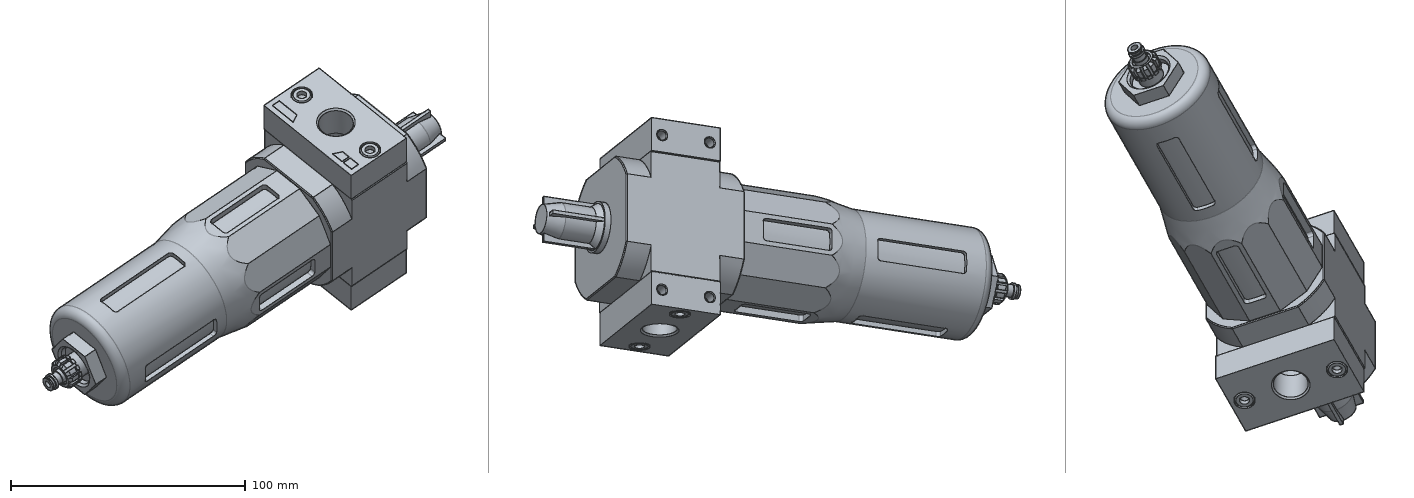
import cadquery as cq
import math


BODY_SIZE = 55.0
BODY_CORNER_DIA = 63.0
BODY_CHAMFER = 0.5

OVERALL_HEIGHT = 85.0
PLATE_LENGTH = 32.0
PLATE_SHIFT_X = -0.5
PORT_DIA = 14.9
PORT_RIM_DIA = 16.5
SIDE_HOLE_DIA = 4.2
SIDE_HOLE_RIM_DIA = 5.0
SIDE_HOLE_DEPTH = 6.7
SIDE_HOLE_SPACING_Y = 22.2
SIDE_HOLE_INSET = 7.3
DRILL_POINT_ANGLE = 118

LABEL_DEPTH = 0.2
LABEL_BACK_Y = -9.3
LABEL_FRONT_Y = -13.3
LABEL_SLANT = 2.0
LABEL_INNER_X = 12.5
LEFT_LABEL_OUTER_X = -25.5
RIGHT_LABEL_SPLIT_X = 18.5
RIGHT_LABEL_GAP = 0.9
RIGHT_LABEL_OUTER_X = 24.5

SCREW_X = 21.5
SCREW_HEAD_DIA = 8.5
SCREW_HEAD_TOP_DIA = 7.3
SCREW_HEAD_HEIGHT = 4.5
SCREW_POCKET_DIA = 9.0
SCREW_SHANK_DIA = 5.0
SCREW_BITE = 6.7
SOCKET_DIA = 4.2
SOCKET_DEPTH = 2.2

KNOB_TIP_Y = 55.3
KNOB_COLLAR_DIA = 22.2
KNOB_COLLAR_LENGTH = 2.7
KNOB_FLARE_LENGTH = 2.9
KNOB_CORE_DIA = 16.5
KNOB_TIP_DIA = 12.7
KNOB_TAPER_LENGTH = 8.0
FIN_COUNT = 4
FIN_REACH = 10.2
FIN_THICKNESS = 1.5
FIN_SETBACK = 1.0

FACET_COUNT = 12
FACET_FLATS = 53.3
BOWL_DIA = 48.7
TAPER_START_Y = -68.7
TAPER_END_Y = -85.5
BOWL_END_Y = -145.5
BOWL_END_FILLET = 4.0
WINDOW_WIDTH = 10.2
WINDOW_CORNER = 1.5
FACET_WINDOW_FLOOR_DIA = 48.5
BOWL_WINDOW_FLOOR_DIA = 44.5
WINDOW_COUNT = 4
FACET_WINDOW_Y = (-68.7, -36.7)
BOWL_WINDOW_Y = (-132.5, -91)
HEX_FLATS = 24.0
HEX_HEIGHT = 6.2
HEX_RECESS_DIA = 18.0
HEX_RECESS_RIM_DIA = 20
HEX_RECESS_DEPTH = 3.3

DRAIN_NECK_DIA = 11
WHEEL_DIA = 13.3
WHEEL_START_Y = -153.0
WHEEL_END_Y = -159.8
WHEEL_CHAMFER = 1.3
WHEEL_RECESS_DIA = 8.5
WHEEL_RECESS_DEPTH = 0.9
WHEEL_RIM_LENGTH = 1.3
WHEEL_GROOVE_DIA = 11
WHEEL_GROOVE_LENGTH = 0.5
NOTCH_COUNT = 12
NOTCH_WIDTH = 1.3
NOTCH_DEPTH = 1.3
NIPPLE_END_Y = -166.9
NIPPLE_NECK_DIA = 5.5
NIPPLE_BASE_RING = (6.5, -158.9, -160.9)
NIPPLE_BARB_RING = (7.0, -163.8, -164.9)
NIPPLE_TIP_RING = (6.2, -166.0, NIPPLE_END_Y)
NIPPLE_HOLE_DIA = 3.0
NIPPLE_HOLE_DEPTH = 4.5

BODY_HALF = BODY_SIZE / 2
PLATE_TOP_Z = OVERALL_HEIGHT / 2
PLATE_HEIGHT = PLATE_TOP_Z - BODY_HALF
PLATE_FACE_X = PLATE_SHIFT_X - BODY_HALF
SCREW_LENGTH = PLATE_HEIGHT + SCREW_BITE
FACET_CORNER_DIA = FACET_FLATS / math.cos(math.pi / FACET_COUNT)
HEX_END_Y = BOWL_END_Y - HEX_HEIGHT
RECESS_FLOOR_Y = HEX_END_Y + HEX_RECESS_DEPTH


def cylinder_y(diameter, y_start, y_end):
    """Solid cylinder on the Y axis between two Y positions."""
    low, high = min(y_start, y_end), max(y_start, y_end)
    return cq.Workplane("XZ", origin=(0, low, 0)).circle(diameter / 2).extrude(low - high)


def turned_y(points):
    """Solid of revolution about the Y axis from (radius, y) points."""
    return cq.Workplane("XY").polyline(points).close().revolve(360, (0, 0, 0), (0, 1, 0))


def prism_y(sides, flats, y_start, y_end, turn):
    """Regular prism on the Y axis, given across flats, turned about that axis."""
    return (
        cq.Workplane("XZ", origin=(0, y_start, 0))
        .polygon(sides, flats / math.cos(math.pi / sides))
        .extrude(y_start - y_end)
        .rotate((0, 0, 0), (0, 1, 0), turn)
    )


def spread_about_y(shape, count):
    """Copies of a shape, evenly turned about the Y axis."""
    return [shape.rotate((0, 0, 0), (0, 1, 0), 360 / count * i) for i in range(count)]


def mirrored_to_bottom(shape):
    return shape.mirror("XY")


def flow_port():
    """Straight bore along Z through plates and housing."""
    return cq.Workplane("XY").circle(PORT_DIA / 2).extrude(OVERALL_HEIGHT / 2, both=True)


def drilled_hole(diameter, rim_diameter, depth):
    """Cutter for a blind hole along +X from the origin, with a rim countersink and a drill point."""
    radius = diameter / 2
    rim_radius = rim_diameter / 2
    point_length = radius / math.tan(math.radians(DRILL_POINT_ANGLE / 2))
    profile = cq.Workplane("XY").moveTo(0, 0).lineTo(0, rim_radius)
    if rim_radius > radius:
        profile = profile.lineTo(rim_radius - radius, radius)
    profile = profile.lineTo(depth, radius).lineTo(depth + point_length, 0).close()
    return profile.revolve(360, (0, 0, 0), (1, 0, 0))


def screw_points():
    return [(-SCREW_X, 0), (SCREW_X, 0)]


def make_housing():
    ends = cq.Workplane("XY").box(BODY_SIZE, BODY_SIZE, BODY_SIZE).intersect(
        cylinder_y(BODY_CORNER_DIA, -BODY_HALF, BODY_HALF)
    )
    ends = ends.faces("<Y or >Y").chamfer(BODY_CHAMFER)
    middle = cq.Workplane("XY").box(BODY_SIZE, PLATE_LENGTH, BODY_SIZE).edges("|Y").chamfer(BODY_CHAMFER)
    housing = ends.union(middle).cut(flow_port())
    screw_holes = (
        cq.Workplane("XY", origin=(0, 0, BODY_HALF - SCREW_BITE))
        .pushPoints(screw_points())
        .circle(SCREW_SHANK_DIA / 2)
        .extrude(SCREW_BITE)
    )
    return housing.cut(screw_holes).cut(mirrored_to_bottom(screw_holes))


def port_rim():
    """Conical countersink of the port at the outer plate face."""
    rim_depth = (PORT_RIM_DIA - PORT_DIA) / 2
    return cq.Workplane("XY").add(
        cq.Solid.makeCone(
            PORT_DIA / 2, PORT_RIM_DIA / 2, rim_depth, cq.Vector(0, 0, PLATE_TOP_Z - rim_depth)
        )
    )


def side_hole(y):
    """Countersunk blind hole entering from the -X plate face."""
    hole = drilled_hole(SIDE_HOLE_DIA, SIDE_HOLE_RIM_DIA, SIDE_HOLE_DEPTH)
    return hole.translate((PLATE_FACE_X, y, PLATE_TOP_Z - SIDE_HOLE_INSET))


def make_plate():
    """Upper plate without its labels; the lower plate is its mirror image."""
    plate = cq.Workplane("XY", origin=(PLATE_SHIFT_X, 0, BODY_HALF)).box(
        BODY_SIZE, PLATE_LENGTH, PLATE_HEIGHT, centered=(True, True, False)
    )
    plate = plate.cut(flow_port()).cut(port_rim())
    plate = (
        plate.faces(">Z")
        .workplane(origin=(0, 0, PLATE_TOP_Z))
        .pushPoints(screw_points())
        .cboreHole(SCREW_SHANK_DIA, SCREW_POCKET_DIA, SCREW_HEAD_HEIGHT)
    )
    for y in (-SIDE_HOLE_SPACING_Y / 2, SIDE_HOLE_SPACING_Y / 2):
        plate = plate.cut(side_hole(y))
    return plate


def label_recess(points):
    return (
        cq.Workplane("XY", origin=(0, 0, PLATE_TOP_Z)).polyline(points).close().extrude(-LABEL_DEPTH)
    )


def pointed_label(outer_x, side):
    """Four-sided label whose inner end slants; side is -1 left of the port, +1 right."""
    return label_recess([
        (outer_x, LABEL_BACK_Y),
        (side * (LABEL_INNER_X + LABEL_SLANT), LABEL_BACK_Y),
        (side * LABEL_INNER_X, LABEL_FRONT_Y),
        (outer_x, LABEL_FRONT_Y),
    ])


def square_label():
    inner_x = RIGHT_LABEL_SPLIT_X + RIGHT_LABEL_GAP
    return label_recess([
        (inner_x, LABEL_BACK_Y),
        (RIGHT_LABEL_OUTER_X, LABEL_BACK_Y),
        (RIGHT_LABEL_OUTER_X, LABEL_FRONT_Y),
        (inner_x, LABEL_FRONT_Y),
    ])


def make_labelled_plate():
    plate = make_plate()
    plate = plate.cut(pointed_label(LEFT_LABEL_OUTER_X, -1))
    plate = plate.cut(pointed_label(RIGHT_LABEL_SPLIT_X, 1))
    return plate.cut(square_label())


def make_screw(x):
    """Socket head screw of the upper plate, head flush with the outer face."""
    edge = (SCREW_HEAD_DIA - SCREW_HEAD_TOP_DIA) / 2
    head = (
        cq.Workplane("XY", origin=(x, 0, PLATE_TOP_Z))
        .circle(SCREW_HEAD_DIA / 2)
        .extrude(-SCREW_HEAD_HEIGHT)
        .faces(">Z")
        .chamfer(edge)
    )
    shank = (
        cq.Workplane("XY", origin=(x, 0, PLATE_TOP_Z - SCREW_LENGTH))
        .circle(SCREW_SHANK_DIA / 2)
        .extrude(SCREW_LENGTH - SCREW_HEAD_HEIGHT)
    )
    socket = drilled_hole(SOCKET_DIA, SOCKET_DIA, SOCKET_DEPTH)
    socket = socket.rotate((0, 0, 0), (0, 1, 0), 90).translate((x, 0, PLATE_TOP_Z))
    return head.union(shank).cut(socket)


def make_knob():
    collar_end = BODY_HALF + KNOB_COLLAR_LENGTH
    core = turned_y([
        (0, BODY_HALF),
        (KNOB_COLLAR_DIA / 2, BODY_HALF),
        (KNOB_COLLAR_DIA / 2, collar_end),
        (FIN_REACH, collar_end),
        (KNOB_CORE_DIA / 2, collar_end + KNOB_FLARE_LENGTH),
        (KNOB_CORE_DIA / 2, KNOB_TIP_Y - KNOB_TAPER_LENGTH),
        (KNOB_TIP_DIA / 2, KNOB_TIP_Y),
        (0, KNOB_TIP_Y),
    ])
    fin_length = KNOB_TIP_Y - FIN_SETBACK - collar_end
    fin = cq.Workplane("XY", origin=(0, collar_end, 0)).box(
        FIN_REACH, fin_length, FIN_THICKNESS, centered=(False, False, True)
    )
    for copy in spread_about_y(fin, FIN_COUNT):
        core = core.union(copy)
    return core


def bowl_window(y_range, floor_dia):
    """Radial cutter above the bowl axis, rounded in plan, stopping at a round floor."""
    y_low, y_high = y_range
    cutter = (
        cq.Workplane("XY", origin=(0, (y_low + y_high) / 2, 0))
        .rect(WINDOW_WIDTH, y_high - y_low)
        .extrude(FACET_FLATS)
        .edges("|Z")
        .fillet(WINDOW_CORNER)
    )
    return cutter.cut(cylinder_y(floor_dia, y_low, y_high))


def make_bowl():
    turned = turned_y([
        (0, -BODY_HALF),
        (FACET_CORNER_DIA / 2, -BODY_HALF),
        (FACET_CORNER_DIA / 2, TAPER_START_Y),
        (BOWL_DIA / 2, TAPER_END_Y),
        (BOWL_DIA / 2, BOWL_END_Y),
        (0, BOWL_END_Y),
    ])
    turned = turned.faces("<Y").edges().fillet(BOWL_END_FILLET)
    half_facet = 180 / FACET_COUNT
    bowl = turned.intersect(prism_y(FACET_COUNT, FACET_FLATS, BOWL_END_Y, -BODY_HALF, half_facet))

    facet_window = bowl_window(FACET_WINDOW_Y, FACET_WINDOW_FLOOR_DIA)
    lower_window = bowl_window(BOWL_WINDOW_Y, BOWL_WINDOW_FLOOR_DIA)
    for window in (facet_window, lower_window):
        for cutter in spread_about_y(window, WINDOW_COUNT):
            bowl = bowl.cut(cutter)

    bowl = bowl.union(prism_y(6, HEX_FLATS, HEX_END_Y, BOWL_END_Y, 0))
    rim_depth = (HEX_RECESS_RIM_DIA - HEX_RECESS_DIA) / 2
    recess = turned_y([
        (0, HEX_END_Y),
        (HEX_RECESS_RIM_DIA / 2, HEX_END_Y),
        (HEX_RECESS_DIA / 2, HEX_END_Y + rim_depth),
        (HEX_RECESS_DIA / 2, RECESS_FLOOR_Y),
        (0, RECESS_FLOOR_Y),
    ])
    return bowl.cut(recess)


def make_drain():
    wheel = cylinder_y(WHEEL_DIA, WHEEL_START_Y, WHEEL_END_Y).faces("<Y").chamfer(WHEEL_CHAMFER)
    groove_y = WHEEL_START_Y - WHEEL_RIM_LENGTH
    groove_end_y = groove_y - WHEEL_GROOVE_LENGTH
    groove = cylinder_y(WHEEL_DIA, groove_y, groove_end_y).cut(
        cylinder_y(WHEEL_GROOVE_DIA, groove_y, groove_end_y)
    )
    wheel = wheel.cut(groove).cut(
        cylinder_y(WHEEL_RECESS_DIA, WHEEL_END_Y, WHEEL_END_Y + WHEEL_RECESS_DEPTH)
    )
    notch = cq.Workplane("XY", origin=(WHEEL_DIA / 2 - NOTCH_DEPTH, WHEEL_END_Y, 0)).box(
        WHEEL_DIA, WHEEL_START_Y - WHEEL_END_Y, NOTCH_WIDTH, centered=(False, False, True)
    )
    for cutter in spread_about_y(notch, NOTCH_COUNT):
        wheel = wheel.cut(cutter)

    drain = wheel.union(cylinder_y(DRAIN_NECK_DIA, RECESS_FLOOR_Y, WHEEL_START_Y))
    drain = drain.union(cylinder_y(NIPPLE_NECK_DIA, WHEEL_START_Y, NIPPLE_END_Y))
    for ring in (NIPPLE_BASE_RING, NIPPLE_BARB_RING, NIPPLE_TIP_RING):
        drain = drain.union(cylinder_y(*ring))
    return drain.cut(cylinder_y(NIPPLE_HOLE_DIA, NIPPLE_END_Y, NIPPLE_END_Y + NIPPLE_HOLE_DEPTH))


housing = make_housing()
upper_plate = make_labelled_plate()
lower_plate = mirrored_to_bottom(make_plate())
knob = make_knob()
bowl = make_bowl()
drain = make_drain()

screws = []
for screw_x in (-SCREW_X, SCREW_X):
    upper_screw = make_screw(screw_x)
    screws.append(upper_screw.val())
    screws.append(mirrored_to_bottom(upper_screw).val())

result = cq.Compound.makeCompound([
    housing.val(),
    upper_plate.val(),
    lower_plate.val(),
    *screws,
    knob.val(),
    bowl.val(),
    drain.val(),
])